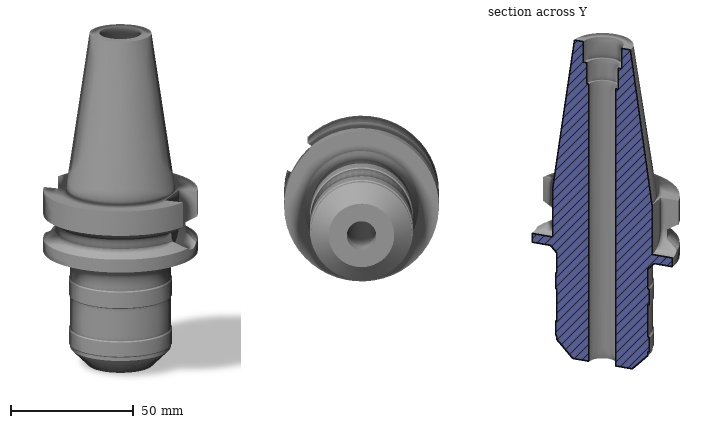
import cadquery as cq

total_height = 140.4

nose_tip_radius = 13.3
nose_radius = 20.5
nose_bevel_top = nose_radius - nose_tip_radius
band_radius = 21.0
band_chamfer = 0.4
band_spans = [(8.7, 15.6), (29.3, 36.8)]

flange_radius = 31.52
flange_bottom = 48.0
flange_top = 74.0
collar_radius = 23.3
collar_bottom = flange_bottom - (collar_radius - nose_radius)
groove_radius = 26.5
groove_bottom = 53.5
groove_floor_bottom = 56.6
groove_floor_top = 60.5
groove_top = 63.6

gauge_height = 75.0
shank_base_radius = 22.2
shank_top_radius = 12.6

slot_width = 16.1
slot_floor_distance = 22.5
slot_bottom = 52.1

through_radius = 5.97
step_radius = 7.0
counterbore_radius = 8.5
counterbore_depth = 9.0
step_depth = 18.3


def bore(radius, depth):
    """Cylinder cut down from the shank's top face."""
    return cq.Workplane("XY", origin=(0, 0, total_height - depth)).circle(radius).extrude(depth)


def band(bottom, top):
    """Raised ring with chamfered edges around the nose."""
    return (
        cq.Workplane("XY", origin=(0, 0, bottom))
        .circle(band_radius)
        .extrude(top - bottom)
        .faces("|Z")
        .chamfer(band_chamfer)
    )


def drive_slot(side):
    """Vertical slot with a half-round lower end; side is +1 or -1 along X."""
    end_radius = slot_width / 2
    arc_center = slot_bottom + end_radius
    depth = flange_radius - slot_floor_distance
    return (
        cq.Workplane("YZ", origin=(side * slot_floor_distance, 0, 0))
        .moveTo(-end_radius, flange_top)
        .lineTo(-end_radius, arc_center)
        .threePointArc((0, slot_bottom), (end_radius, arc_center))
        .lineTo(end_radius, flange_top)
        .close()
        .extrude(side * depth)
    )


profile = [
    (0, 0),
    (nose_tip_radius, 0),
    (nose_radius, nose_bevel_top),
    (nose_radius, collar_bottom),
    (collar_radius, flange_bottom),
    (flange_radius, flange_bottom),
    (flange_radius, groove_bottom),
    (groove_radius, groove_floor_bottom),
    (groove_radius, groove_floor_top),
    (flange_radius, groove_top),
    (flange_radius, flange_top),
    (shank_base_radius, flange_top),
    (shank_base_radius, gauge_height),
    (shank_top_radius, total_height),
    (0, total_height),
]
result = cq.Workplane("XZ").polyline(profile).close().revolve(360, (0, 0, 0), (0, 1, 0))

for bottom, top in band_spans:
    result = result.union(band(bottom, top))

for side in (-1, 1):
    result = result.cut(drive_slot(side))

result = result.cut(bore(through_radius, total_height))
result = result.cut(bore(step_radius, step_depth))
result = result.cut(bore(counterbore_radius, counterbore_depth))